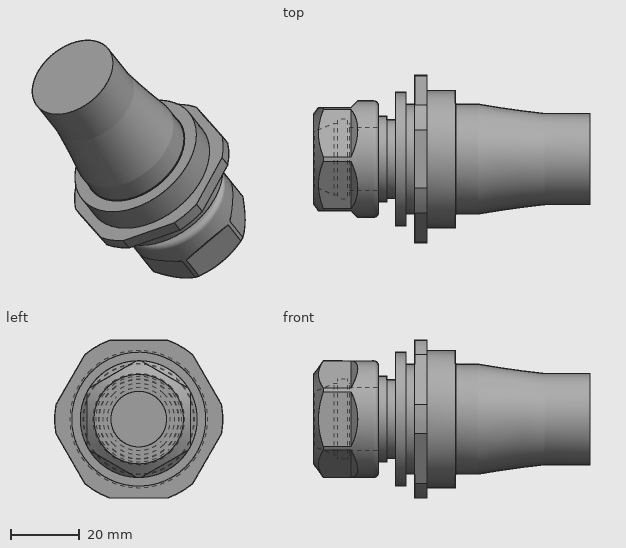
import cadquery as cq
import math

nut_chamfer_end = 2.9
wrench_flat_end = 10.95
nut_end = 19.0
shoulder_end = 21.4
neck_end = 23.8
flange_end = 27.0
collar_end = 29.5
lock_hex_end = 33.1
body_end = 41.3
body_lip_end = 41.5
taper_start = 47.9
taper_end = 67.3
total_length = 80.5

nut_face_diameter = 26.0
nut_diameter = 34.0
shoulder_diameter = 24.95
neck_diameter = 23.0
flange_diameter = 39.0
collar_diameter = 32.0
body_diameter = 40.0
body_lip_diameter = 32.4
tail_diameter = 26.6
taper_sag = 0.2

nut_across_flats = 30.0
nut_back_round = 1.5
lock_across_flats = 46.0
lock_corner_diameter = 48.95

mouth_diameter = 16.2
mouth_depth = 0.4
inner_bore_diameter = 20.8
cone_depth = 5.95
bore_depth = 7.0
recess_diameter = 23.35
recess_depth = 10.0
seat_depth = 10.55
socket_diameter = 18.35
socket_depth = nut_end


def cylinder(start, end, diameter):
    return cq.Workplane("YZ", origin=(start, 0, 0)).circle(diameter / 2).extrude(end - start)


def cone(start, end, start_diameter, end_diameter):
    profile = [
        (start, 0),
        (start, start_diameter / 2),
        (end, end_diameter / 2),
        (end, 0),
    ]
    return cq.Workplane("XY").polyline(profile).close().revolve(360, (0, 0, 0), (1, 0, 0))


def hexagon(start, across_flats, turn):
    """Hexagon sketch facing X; a turn of 0 puts its corners on the Y axis."""
    across_corners = across_flats / math.cos(math.pi / 6)
    plane = cq.Workplane("YZ", origin=(start, 0, 0)).transformed(rotate=(0, 0, turn))
    return plane.polygon(6, across_corners)


def gland_nut():
    front = cone(0, nut_chamfer_end, nut_face_diameter, nut_diameter)
    rear = cylinder(nut_chamfer_end, nut_end, nut_diameter)
    blank = front.union(rear.faces(">X").edges().fillet(nut_back_round))
    flats = hexagon(0, nut_across_flats, 30).extrude(wrench_flat_end)
    run_out = hexagon(wrench_flat_end, nut_across_flats, 30).extrude(nut_end - wrench_flat_end, taper=-45)
    return blank.intersect(flats.union(run_out))


def lock_hex():
    prism = hexagon(collar_end, lock_across_flats, 0).extrude(lock_hex_end - collar_end)
    return prism.intersect(cylinder(collar_end, lock_hex_end, lock_corner_diameter))


def tail():
    middle_x = (taper_start + taper_end) / 2
    middle_radius = (collar_diameter + tail_diameter) / 4 - taper_sag
    return (
        cq.Workplane("XY")
        .moveTo(body_lip_end, 0)
        .lineTo(body_lip_end, collar_diameter / 2)
        .lineTo(taper_start, collar_diameter / 2)
        .threePointArc((middle_x, middle_radius), (taper_end, tail_diameter / 2))
        .lineTo(total_length, tail_diameter / 2)
        .lineTo(total_length, 0)
        .close()
        .revolve(360, (0, 0, 0), (1, 0, 0))
    )


def cavity():
    flare = cone(mouth_depth, cone_depth, mouth_diameter, inner_bore_diameter)
    return (
        cylinder(0, mouth_depth, mouth_diameter)
        .union(flare)
        .union(cylinder(cone_depth, seat_depth, inner_bore_diameter))
        .union(cylinder(bore_depth, recess_depth, recess_diameter))
        .union(cylinder(seat_depth, socket_depth, socket_diameter))
    )


round_steps = [
    (nut_end, shoulder_end, shoulder_diameter),
    (shoulder_end, neck_end, neck_diameter),
    (neck_end, flange_end, flange_diameter),
    (flange_end, collar_end, collar_diameter),
    (lock_hex_end, body_end, body_diameter),
    (body_end, body_lip_end, body_lip_diameter),
]

result = gland_nut().union(lock_hex()).union(tail())
for step_start, step_end, step_diameter in round_steps:
    result = result.union(cylinder(step_start, step_end, step_diameter))
result = result.cut(cavity())